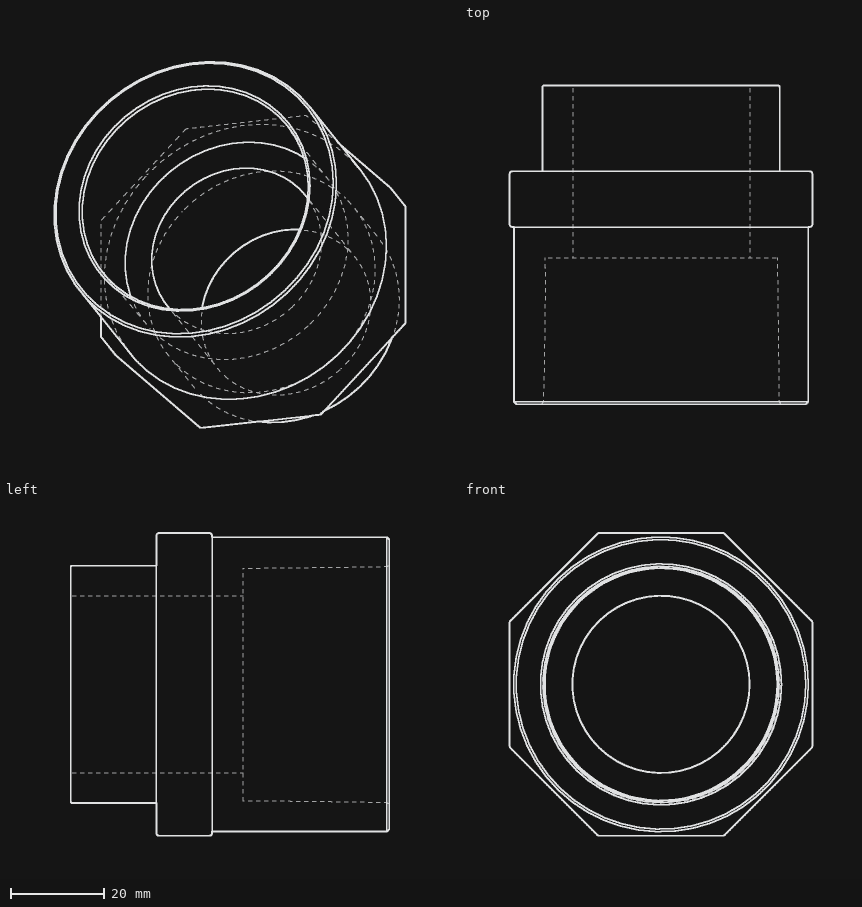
import cadquery as cq

total_length = 68.5
spigot_length = 18.4
nut_width = 12.0
socket_length = total_length - spigot_length - nut_width

socket_outer_diameter = 63.3
spigot_diameter = 51.0
nut_across_flats = 65.1
angle_between_flats = 45
bore_diameter = 38.0
socket_mouth_diameter = 50.7
socket_bottom_diameter = 49.95
socket_depth = 31.5

socket_rim_chamfer = 0.55
mouth_chamfer = 0.55
spigot_rim_fillet = 0.4
nut_fillet = 0.6

socket_mouth_y = -total_length / 2
nut_front_y = socket_mouth_y + socket_length
spigot_end_y = total_length / 2


def plane_at(y):
    """Plane across the pipe axis at the given Y, with its normal along +Y."""
    return cq.Workplane(cq.Plane(origin=(0, y, 0), xDir=(1, 0, 0), normal=(0, 1, 0)))


def make_socket_body():
    """Outer wall of the socket, running on into the nut so the two join."""
    body = plane_at(socket_mouth_y).circle(socket_outer_diameter / 2).extrude(socket_length + nut_width / 2)
    return body.faces("<Y").edges().chamfer(socket_rim_chamfer)


def make_nut():
    """Octagonal grip with flats facing X and Z and every edge rounded."""
    square = plane_at(nut_front_y).rect(nut_across_flats, nut_across_flats).extrude(nut_width)
    diagonal_square = square.rotate((0, 0, 0), (0, 1, 0), angle_between_flats)
    octagon = square.intersect(diagonal_square)
    return octagon.edges().fillet(nut_fillet)


def make_spigot():
    """Plain spigot with a rounded rim, running on into the nut so the two join."""
    length = spigot_length + nut_width / 2
    spigot = plane_at(spigot_end_y - length).circle(spigot_diameter / 2).extrude(length)
    return spigot.faces(">Y").edges().fillet(spigot_rim_fillet)


def make_cavity():
    """Tapered socket with a chamfered mouth, leading into the through bore."""
    mouth_radius = socket_mouth_diameter / 2
    bore_radius = bore_diameter / 2
    socket_bottom_y = socket_mouth_y + socket_depth
    return (
        cq.Workplane("XY")
        .moveTo(0, socket_mouth_y)
        .lineTo(mouth_radius + mouth_chamfer, socket_mouth_y)
        .lineTo(mouth_radius, socket_mouth_y + mouth_chamfer)
        .lineTo(socket_bottom_diameter / 2, socket_bottom_y)
        .lineTo(bore_radius, socket_bottom_y)
        .lineTo(bore_radius, spigot_end_y)
        .lineTo(0, spigot_end_y)
        .close()
        .revolve(360, (0, 0, 0), (0, 1, 0))
    )


result = make_nut().union(make_socket_body()).union(make_spigot()).cut(make_cavity())